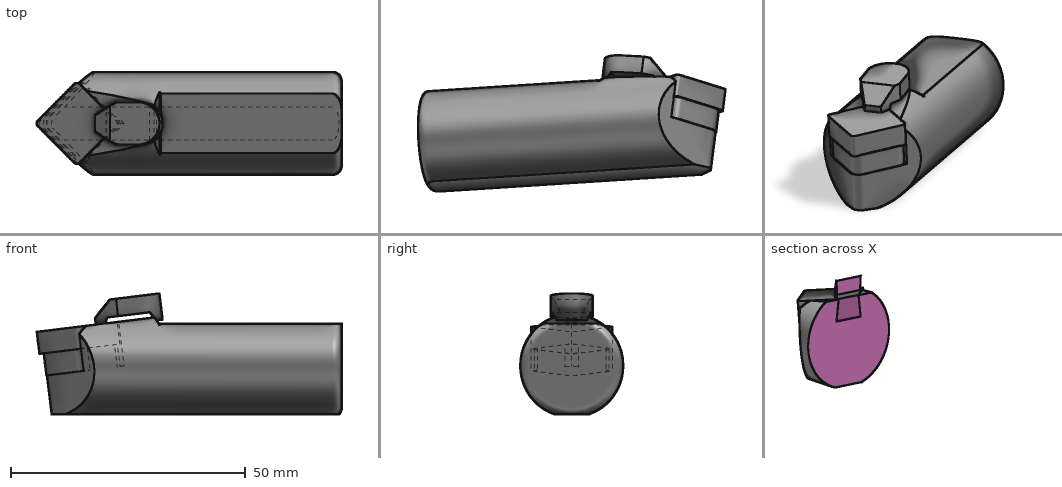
import cadquery as cq
import math

overall_length = 65.0
shank_diameter = 22.0
shank_radius = shank_diameter / 2
top_flat_z = 9.0
bottom_flat_z = -10.4
end_fillet = 2.1

tilt = 7.0
tip_z = 7.2
flank_apex_u = 0.25
head_edge_radius = 1.8

insert_side = 12.7
insert_thickness = 4.75
insert_corner_radius = 0.8
shim_side = 12.4
shim_thickness = 4.75
shim_corner_radius = 2.1

ridge_x = 25.1
groove_x = 26.2
groove_z = 8.7
groove_end_x = 26.5

clamp_half_width = 4.5
clamp_nose_half_width = 1.8
clamp_nose_u = 12.7
clamp_full_width_u = 17.6
clamp_rear_u = 27.0
clamp_nose_height = 1.35
clamp_top_w = 4.95
clamp_top_front_u = 16.3
clamp_nose_rear_u = 15.0
clamp_underside_w = 1.2
clamp_underside_radius = 0.5
clamp_tail_front_u = 25.7
clamp_tail_rise_u = 24.4
clamp_tail_w = -0.7

clearance = 78.0


def tilted_point(u, w):
    """X and Z of a point in the tilted frame."""
    angle = math.radians(tilt)
    x = u * math.cos(angle) - w * math.sin(angle)
    z = tip_z + u * math.sin(angle) + w * math.cos(angle)
    return x, z


head_plane = cq.Plane(
    origin=(0, 0, tip_z),
    xDir=(math.cos(math.radians(tilt)), 0, math.sin(math.radians(tilt))),
    normal=(-math.sin(math.radians(tilt)), 0, math.cos(math.radians(tilt))),
)
side_plane = cq.Plane(origin=head_plane.origin, xDir=head_plane.xDir, normal=(0, -1, 0))

half_diagonal = insert_side / math.sqrt(2)
corner_setback = insert_corner_radius * (math.sqrt(2) - 1)
pocket_rear_u = 2 * half_diagonal - corner_setback
pocket_depth = insert_thickness + shim_thickness


def corner_block(rear_u, side, top_w, height):
    """Square block standing on its diagonal, with its rear corner at rear_u."""
    return (
        cq.Workplane(head_plane)
        .workplane(offset=top_w - height)
        .center(rear_u - side / math.sqrt(2), 0)
        .transformed(rotate=(0, 0, 45))
        .rect(side, side)
        .extrude(height)
    )


def make_insert():
    block = corner_block(pocket_rear_u, insert_side, 0, insert_thickness)
    return block.edges(cq.selectors.ParallelDirSelector(head_plane.zDir)).fillet(insert_corner_radius)


def make_shim():
    block = corner_block(pocket_rear_u, shim_side, -insert_thickness, shim_thickness)
    return block.edges(cq.selectors.ParallelDirSelector(head_plane.zDir)).fillet(shim_corner_radius)


def make_round_bar():
    """Round bar with a rounded rear edge, trimmed to the two flats."""
    bar = cq.Workplane("YZ").circle(shank_radius).extrude(overall_length)
    bar = bar.faces(">X").edges().fillet(end_fillet)
    below = (
        cq.Workplane("XY", origin=(0, 0, bottom_flat_z))
        .rect(2 * clearance, shank_diameter)
        .extrude(-shank_radius)
    )
    return bar.cut(below)


def make_top_relief():
    """Sloping head top, V-groove and rear flat, as one cutter across the bar."""
    ridge_u = ridge_x / math.cos(math.radians(tilt))
    return (
        cq.Workplane("XZ")
        .polyline([
            tilted_point(-ridge_u, 0),
            tilted_point(ridge_u, 0),
            (groove_x, groove_z),
            (groove_end_x, top_flat_z),
            (clearance, top_flat_z),
            (clearance, clearance),
            (-clearance, clearance),
        ])
        .close()
        .extrude(shank_radius, both=True)
    )


def make_head_envelope():
    """Wedge with two flanks at 45 degrees and a rounded front edge."""
    wedge = (
        cq.Workplane(head_plane)
        .workplane(offset=-clearance / 2)
        .polyline([
            (flank_apex_u, 0),
            (flank_apex_u + clearance, -clearance),
            (flank_apex_u + 2 * clearance, 0),
            (flank_apex_u + clearance, clearance),
        ])
        .close()
        .extrude(clearance)
    )
    tilted_edges = cq.selectors.ParallelDirSelector(head_plane.zDir)
    return wedge.edges(tilted_edges).edges("<X").fillet(head_edge_radius)


def make_clamp():
    """Intersection of the clamp's side profile and its plan outline."""
    profile = (
        cq.Workplane(side_plane)
        .moveTo(clamp_nose_u, 0)
        .lineTo(clamp_nose_u, clamp_nose_height)
        .lineTo(clamp_top_front_u, clamp_top_w)
        .lineTo(clamp_rear_u, clamp_top_w)
        .lineTo(clamp_rear_u, clamp_tail_w)
        .lineTo(clamp_tail_front_u, clamp_tail_w)
        .lineTo(clamp_tail_rise_u, clamp_underside_w)
        .lineTo(clamp_nose_rear_u + clamp_underside_radius, clamp_underside_w)
        .radiusArc(
            (clamp_nose_rear_u, clamp_underside_w - clamp_underside_radius),
            -clamp_underside_radius,
        )
        .lineTo(clamp_nose_rear_u, 0)
        .close()
        .extrude(clamp_half_width, both=True)
    )
    round_center_u = clamp_rear_u - clamp_half_width
    plan = (
        cq.Workplane(head_plane)
        .workplane(offset=clamp_tail_w)
        .moveTo(clamp_nose_u, -clamp_nose_half_width)
        .lineTo(clamp_full_width_u, -clamp_half_width)
        .lineTo(round_center_u, -clamp_half_width)
        .threePointArc((clamp_rear_u, 0), (round_center_u, clamp_half_width))
        .lineTo(clamp_full_width_u, clamp_half_width)
        .lineTo(clamp_nose_u, clamp_nose_half_width)
        .close()
        .extrude(clamp_top_w - clamp_tail_w)
    )
    return profile.intersect(plan)


def make_holder():
    """Shank with its seat, shim and clamp as one solid."""
    pocket = corner_block(pocket_rear_u, clearance, clearance / 2, clearance / 2 + pocket_depth)
    body = make_round_bar().cut(make_top_relief()).intersect(make_head_envelope()).cut(pocket)
    return body.union(make_shim()).union(make_clamp())


insert = make_insert()
holder = make_holder()

result = cq.Compound.makeCompound([holder.val(), insert.val()])